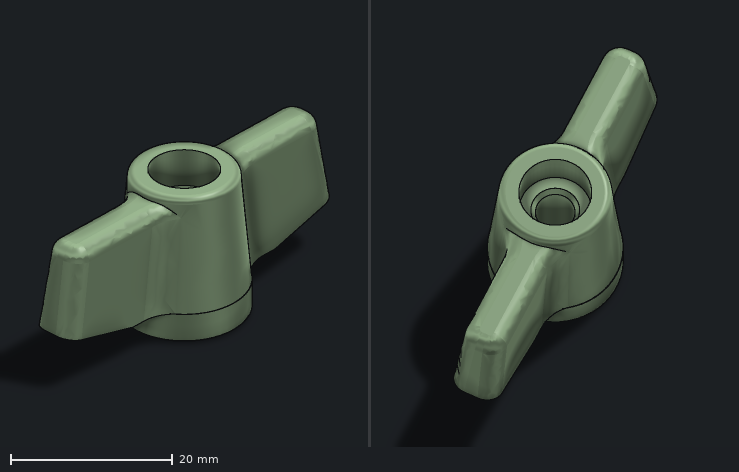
import cadquery as cq
import math

collar_radius = 8.45
collar_bottom = 0.3
collar_top = 4.3
collar_chamfer = 0.2
overall_height = 20.3
body_bottom_radius = 8.4
body_top_radius = 7.0
rim_fillet = 0.95

insert_radius = 9.0 / 2
bore_radius = 4.9 / 2
bore_chamfer = 0.6
recess_depth = 5.25

wing_top = 19.25
upright_flank = 3.3
drafted_flank_bottom = 3.4
drafted_flank_top = 2.15
half_length = 24.0
tip_height = 7.15
tip_draft = 7.3
underside_slope_start = 12.7
corner_radius = 2.3
flare_radius = 5.3
wing_edge_fillet = 1.9
flare_sink = 0.015


def body_radius(height):
    """Radius of the tapered body at a given height."""
    fraction = (height - collar_top) / (overall_height - collar_top)
    return body_bottom_radius + fraction * (body_top_radius - body_bottom_radius)


def tip_reach(height):
    """Distance of the drafted wing tip from the hub axis at a given height."""
    return half_length - (height - tip_height) * math.tan(math.radians(tip_draft))


def flare_points(flank, height):
    """Body contact, arc middle and flank tangency of the flare, for a flank on the +X side."""
    contact_radius = body_radius(height) - flare_sink
    center_x = flank + flare_radius
    center_y = math.sqrt((contact_radius + flare_radius) ** 2 - center_x**2)
    to_hub = math.atan2(-center_y, -center_x)
    middle = (to_hub - math.pi) / 2

    def on_arc(angle):
        return (center_x + flare_radius * math.cos(angle), center_y + flare_radius * math.sin(angle))

    return on_arc(to_hub), on_arc(middle), (flank, center_y)


def mirrored(point):
    return (-point[0], point[1])


def wing_outline(height, drafted_flank):
    """Closed plan outline of the +Y wing, with its upright flank on the -X side."""
    tip = tip_reach(height)
    shoulder = tip - corner_radius
    corner_inset = corner_radius * (1 - math.sqrt(0.5))
    right_contact, right_middle, right_tangent = flare_points(drafted_flank, height)
    left_contact, left_middle, left_tangent = map(mirrored, flare_points(upright_flank, height))
    return (
        cq.Workplane("XY", origin=(0, 0, height))
        .moveTo(*right_contact)
        .threePointArc(right_middle, right_tangent)
        .lineTo(drafted_flank, shoulder)
        .threePointArc((drafted_flank - corner_inset, tip - corner_inset), (drafted_flank - corner_radius, tip))
        .lineTo(corner_radius - upright_flank, tip)
        .threePointArc((corner_inset - upright_flank, tip - corner_inset), (-upright_flank, shoulder))
        .lineTo(*left_tangent)
        .threePointArc(left_middle, left_contact)
        .close()
        .wire()
        .val()
    )


def make_wing():
    bottom_outline = wing_outline(collar_top, drafted_flank_bottom)
    top_outline = wing_outline(wing_top, drafted_flank_top)
    wing = cq.Workplane(cq.Solid.makeLoft([bottom_outline, top_outline], True))

    buried_edge = wing.faces(">Z").edges("<Y").val()
    top_edges = [edge for edge in wing.faces(">Z").edges().vals() if not edge.isSame(buried_edge)]
    wing = wing.newObject(top_edges).fillet(wing_edge_fillet)

    slope = (tip_height - collar_top) / (half_length - underside_slope_start)
    cut_reach = 2 * half_length
    cut_height = collar_top + slope * (cut_reach - underside_slope_start)
    underside = (
        cq.Workplane("YZ")
        .moveTo(underside_slope_start, collar_top)
        .lineTo(cut_reach, cut_height)
        .lineTo(cut_reach, 0)
        .lineTo(underside_slope_start, 0)
        .close()
        .extrude(half_length, both=True)
    )
    return wing.cut(underside)


def make_hub():
    collar = (
        cq.Workplane("XY", origin=(0, 0, collar_bottom))
        .circle(collar_radius)
        .extrude(collar_top - collar_bottom)
        .faces("<Z")
        .chamfer(collar_chamfer)
    )
    body = (
        cq.Workplane("XY", origin=(0, 0, collar_top))
        .circle(body_bottom_radius)
        .workplane(offset=overall_height - collar_top)
        .circle(body_top_radius)
        .loft()
        .faces(">Z")
        .edges()
        .fillet(rim_fillet)
    )
    insert_foot = cq.Workplane("XY").circle(insert_radius).extrude(collar_top)
    return collar.union(body).union(insert_foot)


def make_bore():
    """Through bore, chamfered at the insert's top face, with the open recess above it."""
    insert_top = overall_height - recess_depth
    chamfer_radius = bore_radius + bore_chamfer
    return (
        cq.Workplane("XZ")
        .lineTo(bore_radius, 0)
        .lineTo(bore_radius, insert_top - bore_chamfer)
        .lineTo(chamfer_radius, insert_top)
        .lineTo(insert_radius, insert_top)
        .lineTo(insert_radius, overall_height)
        .lineTo(0, overall_height)
        .close()
        .revolve(360, (0, 0, 0), (0, 1, 0))
    )


wing = make_wing()
opposite_wing = wing.rotate((0, 0, 0), (0, 0, 1), 180)
result = make_hub().union(wing).union(opposite_wing).cut(make_bore())